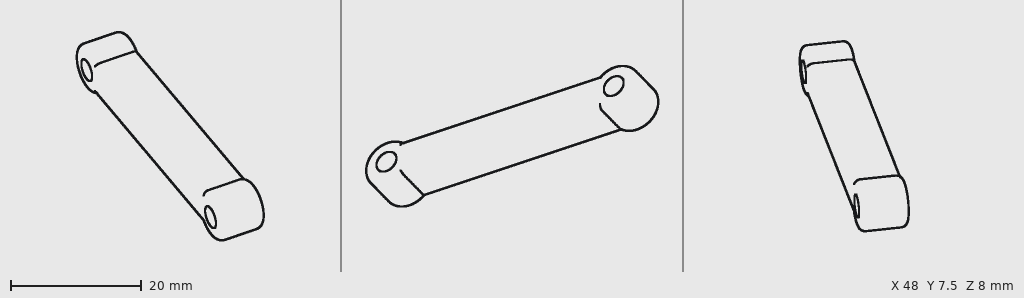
import cadquery as cq

length = 48.0
eye_diameter = 8.0
thickness = 7.5
bar_height = 6.0
hole_diameter = 3.5
edge_radius = 1.0

hole_spacing = length - eye_diameter
eye_centers = [(-hole_spacing / 2, 0), (hole_spacing / 2, 0)]


def link_body():
    """Straight bar joining two round eyes, centred on the origin."""
    bar = cq.Workplane("XZ").rect(hole_spacing, bar_height).extrude(thickness / 2, both=True)
    eyes = (
        cq.Workplane("XZ")
        .pushPoints(eye_centers)
        .circle(eye_diameter / 2)
        .extrude(thickness / 2, both=True)
    )
    return bar.union(eyes)


def pin_holes():
    """Cylinders passing through both eyes along Y."""
    return (
        cq.Workplane("XZ")
        .pushPoints(eye_centers)
        .circle(hole_diameter / 2)
        .extrude(thickness, both=True)
    )


rounded_body = link_body().faces("<Y or >Y").edges().fillet(edge_radius)
result = rounded_body.cut(pin_holes())